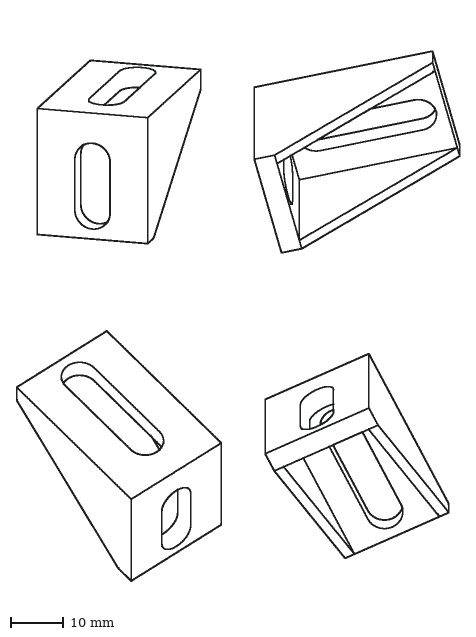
import cadquery as cq

width = 22.0
length = 35.0
height = 25.0

plate_thickness = 4.0
gusset_thickness = 2.0

slot_width = 7.0
slot_tip_margin = 2.0
slot_corner_margin = 6.0
top_slot_length = length - slot_tip_margin - slot_corner_margin
front_slot_length = height - slot_tip_margin - slot_corner_margin


def make_body():
    """Solid triangular bracket with its outer corner at Y = 0, Z = height."""
    profile = [
        (0, 0),
        (plate_thickness, 0),
        (length, height - plate_thickness),
        (length, height),
        (0, height),
    ]
    return cq.Workplane("YZ").polyline(profile).close().extrude(width / 2, both=True)


def make_cavity():
    """Space between the gussets, behind the front plate and under the top plate."""
    return cq.Workplane("XY").box(
        width - 2 * gusset_thickness,
        length - plate_thickness,
        height - plate_thickness,
        centered=(True, False, False),
    ).translate((0, plate_thickness, 0))


def make_top_slot():
    """Cutter for the slot along Y through the top plate."""
    center_y = slot_corner_margin + top_slot_length / 2
    return (
        cq.Workplane("XY", origin=(0, center_y, height))
        .slot2D(top_slot_length, slot_width, 90)
        .extrude(-plate_thickness)
    )


def make_front_slot():
    """Cutter for the slot along Z through the front plate."""
    center_z = slot_tip_margin + front_slot_length / 2
    return (
        cq.Workplane("XZ", origin=(0, 0, center_z))
        .slot2D(front_slot_length, slot_width, 90)
        .extrude(-plate_thickness)
    )


result = make_body().cut(make_cavity()).cut(make_top_slot()).cut(make_front_slot())